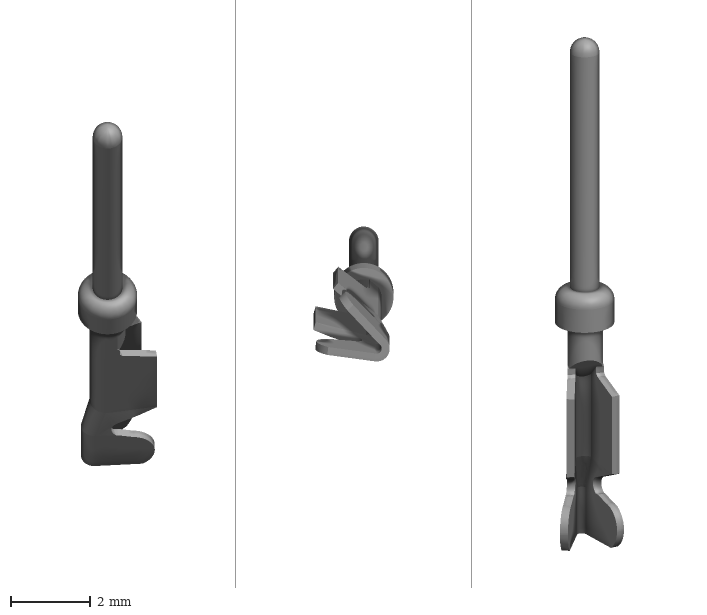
import cadquery as cq
import math

total_height = 13.61
pin_radius = 0.374
tip_flat_radius = 0.001
collar_radius = 0.75
collar_bottom = 5.92
collar_top = 6.87
collar_round = 0.33

sheet = 0.2
wire_crimp_bottom = 2.19
insulation_crimp_top = 1.27

wire_trough_y = -0.45
wire_bend = (0.4, -0.2)
wire_tip = (0.68, 1.08)
insulation_trough_y = -0.7
insulation_bend = (0.32, -0.45)
insulation_tip = (0.823, 0.95)

neck_radius = 0.456
neck_back_end = 5.05
neck_core_radius = 0.33
wall_top_y = 0.08

reach = 2.72


def wing_direction(bend, tip):
    length = math.dist(bend, tip)
    return (tip[0] - bend[0]) / length, (tip[1] - bend[1]) / length


def u_section(z, trough_y, bend, tip):
    """Closed U outline of constant sheet thickness at height z."""
    run, rise = wing_direction(bend, tip)
    inner_bend = (bend[0] - sheet * rise, bend[1] + sheet * run)
    inner_tip = (tip[0] - sheet * rise, tip[1] + sheet * run)

    def mirrored(point):
        return -point[0], point[1]

    return (
        cq.Workplane("XY", origin=(0, 0, z))
        .moveTo(*tip)
        .lineTo(*bend)
        .threePointArc((0, trough_y), mirrored(bend))
        .lineTo(*mirrored(tip))
        .lineTo(*mirrored(inner_tip))
        .lineTo(*mirrored(inner_bend))
        .threePointArc((0, trough_y + sheet), inner_bend)
        .lineTo(*inner_tip)
        .close()
    )


def side_prism(outline):
    """Extrude a closed YZ outline through both wings."""
    return outline.extrude(reach, both=True)


def make_pin():
    pin = cq.Workplane("XY").workplane(offset=collar_bottom).circle(pin_radius)
    pin = pin.extrude(total_height - collar_bottom)
    pin = pin.faces(">Z").edges().fillet(pin_radius - tip_flat_radius)
    collar = cq.Workplane("XY").workplane(offset=collar_bottom).circle(collar_radius)
    collar = collar.extrude(collar_top - collar_bottom).faces(">Z").edges().fillet(collar_round)
    return pin.union(collar)


def make_neck():
    neck = cq.Workplane("XY").workplane(offset=wire_crimp_bottom).circle(neck_radius)
    neck = neck.extrude(collar_bottom - wire_crimp_bottom)
    behind_walls = cq.Workplane("XY").box(reach, reach, total_height, centered=(True, False, False))
    neck = neck.intersect(behind_walls.translate((0, wall_top_y, 0)))
    core = cq.Workplane("XY").workplane(offset=wire_crimp_bottom).circle(neck_core_radius)
    neck = neck.union(core.extrude(collar_bottom - wire_crimp_bottom))
    keep = (
        cq.Workplane("YZ")
        .moveTo(neck_radius, neck_back_end)
        .lineTo(neck_radius, collar_bottom)
        .lineTo(-neck_radius, collar_bottom)
        .lineTo(-neck_radius, neck_back_end - 2 * neck_radius)
        .close()
    )
    return neck.intersect(side_prism(keep))


def make_wire_crimp():
    crimp = u_section(wire_crimp_bottom, wire_trough_y, wire_bend, wire_tip)
    crimp = crimp.extrude(collar_bottom - wire_crimp_bottom)
    relief = (
        cq.Workplane("YZ")
        .moveTo(reach, collar_bottom)
        .lineTo(wall_top_y, collar_bottom)
        .lineTo(wall_top_y, 4.8)
        .lineTo(0.15, 4.75)
        .lineTo(0.15, 4.57)
        .lineTo(0.22, 4.5)
        .lineTo(1.12, 4.29)
        .lineTo(reach, 4.29)
        .close()
    )
    return crimp.cut(side_prism(relief))


def make_transition():
    lower = u_section(insulation_crimp_top, insulation_trough_y, insulation_bend, insulation_tip)
    upper = u_section(wire_crimp_bottom, wire_trough_y, wire_bend, wire_tip)
    sections = [lower.wires().val(), upper.wires().val()]
    transition = cq.Workplane(cq.Solid.makeLoft(sections, True))
    notch = (
        cq.Workplane("YZ")
        .moveTo(reach, wire_crimp_bottom)
        .lineTo(1.12, wire_crimp_bottom)
        .lineTo(0.1, 1.73)
        .threePointArc((-0.07, 1.52), (0.04, insulation_crimp_top))
        .lineTo(reach, insulation_crimp_top)
        .close()
    )
    return transition.cut(side_prism(notch))


def make_insulation_wing():
    """Right half of the insulation crimp, its rounded edge cut square to the wing."""
    section = u_section(0, insulation_trough_y, insulation_bend, insulation_tip)
    half = section.extrude(insulation_crimp_top).intersect(
        cq.Workplane("XY").box(reach, 2 * reach, reach, centered=(False, True, True))
    )
    run, rise = wing_direction(insulation_bend, insulation_tip)
    wing_plane = cq.Plane(origin=(*insulation_bend, 0), xDir=(run, rise, 0), normal=(rise, -run, 0))
    wing_length = math.dist(insulation_bend, insulation_tip)
    blade = (
        cq.Workplane(wing_plane)
        .moveTo(-reach, 0)
        .lineTo(0, 0)
        .lineTo(1.18, 0.04)
        .threePointArc((1.4, 0.27), (wing_length, 0.63))
        .threePointArc((1.33, 1.0), (0.95, 1.17))
        .lineTo(0.56, insulation_crimp_top)
        .lineTo(-reach, insulation_crimp_top)
        .close()
    )
    return half.intersect(side_prism(blade))


insulation_wing = make_insulation_wing()
result = (
    make_pin()
    .union(make_neck())
    .union(make_wire_crimp())
    .union(make_transition())
    .union(insulation_wing)
    .union(insulation_wing.mirror("YZ"))
)